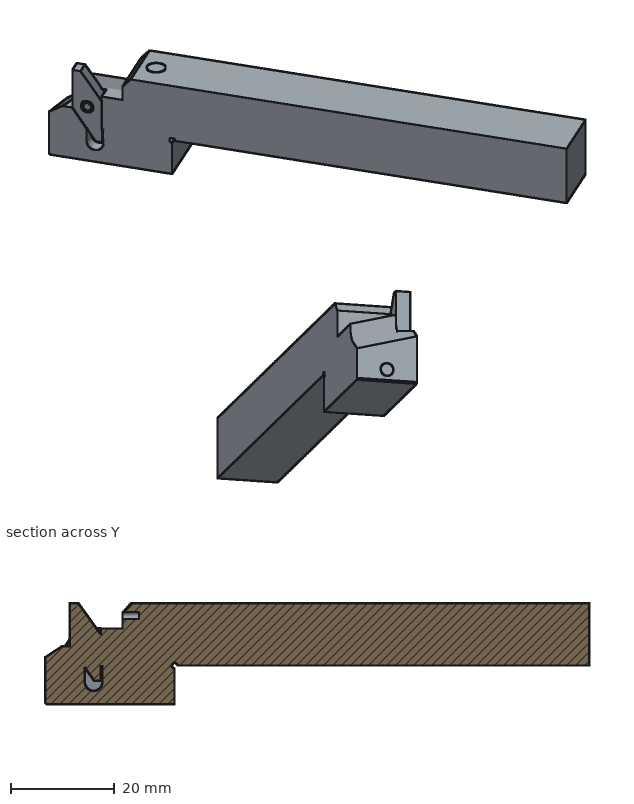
import cadquery as cq

length = 105.0
width = 12.0
height = 19.5
shank_bottom = 7.5
heel_x = 25.0
nose_height = 9.5
toe_chamfer = 0.3
wall_x = 14.9
wall_chamfer_width = 1.7
wall_chamfer_height = 1.9
relief_radius = 0.5

deck_height = 14.7
deck_front_y = 3.5
fall = 0.27
nose_slope = 0.66
groove_start_x = 3.3
groove_end_x = 4.9
groove_wall_height = 0.8
arc_mid_run = 0.7
arc_mid_rise = 0.4

insert_depth = 2.9
insert_recess = 0.1
insert_left = 4.7
insert_tip_right = 6.4
insert_right = 10.7
insert_shoulder = 13.5
insert_bottom = 4.5
insert_bottom_left = 9.5
seat_height = 11.2
screw_x = 7.8
screw_z = 11.9
screw_outer_radius = 1.3
screw_inner_radius = 0.8
screw_recess = 0.5
slot_x = 9.3
slot_radius = 1.7
slot_bottom = 2.6
slot_top = 7.4

top_hole_x = 19.8
top_hole_radius = 1.84
top_hole_depth = 0.1
nose_hole_z = 2.4
nose_hole_radius = 1.3
nose_hole_depth = 0.1
coolant_y = 1.3
coolant_z = 17.1
coolant_radius = 0.6
coolant_depth = 3.2


def extrude_back(outline, depth):
    """Extrude a closed XZ outline toward +Y."""
    return outline.extrude(-depth)


def drill(center, direction, radius, depth):
    return cq.Workplane(cq.Solid.makeCylinder(radius, depth, cq.Vector(*center), cq.Vector(*direction)))


def make_body():
    outline = cq.Workplane("XZ").polyline([
        (toe_chamfer, 0),
        (heel_x, 0),
        (heel_x, shank_bottom),
        (length, shank_bottom),
        (length, height),
        (wall_x + wall_chamfer_width, height),
        (wall_x, height - wall_chamfer_height),
        (wall_x, deck_height),
        (0, deck_height),
        (0, toe_chamfer),
    ]).close()
    relief = drill((heel_x, 0, shank_bottom), (0, 1, 0), relief_radius, width)
    return extrude_back(outline, width).cut(relief)


def groove_section(y):
    """Wire bounding the material removed above the nose ramp and groove at depth y."""
    drop = fall * y
    ramp_end = nose_height + nose_slope * groove_start_x - drop
    wall_base = deck_height + fall * deck_front_y - groove_wall_height - drop
    arc_mid_x = groove_start_x + arc_mid_run * (groove_end_x - groove_start_x)
    arc_mid_z = ramp_end + arc_mid_rise * (wall_base - ramp_end)
    return (
        cq.Workplane("XZ", origin=(0, y, 0))
        .moveTo(0, nose_height - drop)
        .lineTo(groove_start_x, ramp_end)
        .threePointArc((arc_mid_x, arc_mid_z), (groove_end_x, wall_base))
        .lineTo(groove_end_x, height - drop)
        .lineTo(0, height - drop)
        .close()
        .val()
    )


def make_groove():
    sections = [groove_section(0), groove_section(width)]
    return cq.Workplane(cq.Solid.makeLoft(sections, True))


def make_deck_slope():
    back_z = deck_height - fall * (width - deck_front_y)
    return (
        cq.Workplane("YZ")
        .polyline([(deck_front_y, deck_height), (width, deck_height), (width, back_z)])
        .close()
        .extrude(wall_x)
    )


def make_seat_pocket():
    """Clearance over the level seat and around the insert."""
    outline = cq.Workplane("XZ").polyline([
        (0, seat_height),
        (insert_left, seat_height),
        (insert_bottom_left, insert_bottom),
        (insert_right, insert_bottom),
        (insert_right, deck_height),
        (0, deck_height),
    ]).close()
    return extrude_back(outline, insert_depth)


def make_relief_slot():
    center_z = slot_bottom + slot_radius
    outline = (
        cq.Workplane("XZ")
        .moveTo(slot_x - slot_radius, slot_top)
        .lineTo(slot_x - slot_radius, center_z)
        .threePointArc((slot_x, slot_bottom), (slot_x + slot_radius, center_z))
        .lineTo(slot_x + slot_radius, slot_top)
        .close()
    )
    return extrude_back(outline, insert_depth)


def make_insert():
    outline = cq.Workplane("XZ", origin=(0, insert_recess, 0)).polyline([
        (insert_left, seat_height),
        (insert_left, height),
        (insert_tip_right, height),
        (insert_right, insert_shoulder),
        (insert_right, insert_bottom),
        (insert_bottom_left, insert_bottom),
    ]).close()
    ring = drill((screw_x, insert_recess, screw_z), (0, 1, 0), screw_outer_radius, screw_recess)
    core = drill((screw_x, insert_recess, screw_z), (0, 1, 0), screw_inner_radius, screw_recess)
    return extrude_back(outline, insert_depth - insert_recess).cut(ring.cut(core))


def make_holes():
    middle_y = width / 2
    top_hole = drill((top_hole_x, middle_y, height), (0, 0, -1), top_hole_radius, top_hole_depth)
    nose_hole = drill((0, middle_y, nose_hole_z), (1, 0, 0), nose_hole_radius, nose_hole_depth)
    coolant_hole = drill((wall_x, coolant_y, coolant_z), (1, 0, 0), coolant_radius, coolant_depth)
    return [top_hole, nose_hole, coolant_hole]


result = make_body()
for cutter in [make_groove(), make_deck_slope(), make_seat_pocket(), make_relief_slot(), *make_holes()]:
    result = result.cut(cutter)
result = result.union(make_insert())